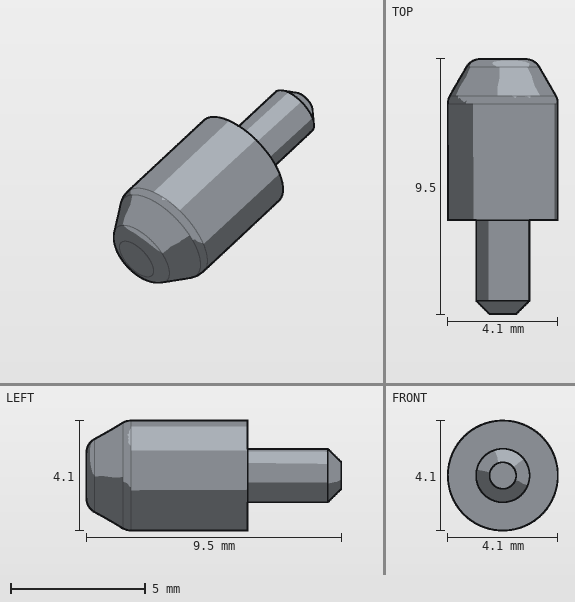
import cadquery as cq
import math

total_length = 9.5
head_diameter = 4.1
head_length = 6.0
nose_length = 1.5
nose_angle = 30.0
nose_rounding = 0.6
pin_diameter = 1.995
pin_chamfer = 0.5

pin_tip_y = -total_length / 2
head_back_y = total_length / 2
shoulder_y = head_back_y - head_length
nose_start_y = head_back_y - nose_length
pin_length = shoulder_y - pin_tip_y

head_radius = head_diameter / 2
nose_end_radius = head_radius - nose_length * math.tan(math.radians(nose_angle))


def make_head():
    """Cylindrical head with a tapered, rounded nose at its +Y end."""
    head = (
        cq.Workplane("XY")
        .moveTo(0, shoulder_y)
        .lineTo(head_radius, shoulder_y)
        .lineTo(head_radius, nose_start_y)
        .lineTo(nose_end_radius, head_back_y)
        .lineTo(0, head_back_y)
        .close()
        .revolve(360, (0, 0, 0), (0, 1, 0))
    )
    nose_edges = head.edges("%CIRCLE").edges("not <Y")
    return nose_edges.fillet(nose_rounding)


def make_pin():
    """Chamfered pin that stands against the flat shoulder of the head."""
    return (
        cq.Workplane("XZ", origin=(0, shoulder_y, 0))
        .circle(pin_diameter / 2)
        .extrude(pin_length)
        .faces("<Y")
        .chamfer(pin_chamfer)
    )


head = make_head()
pin = make_pin()

result = cq.Compound.makeCompound([head.val(), pin.val()])